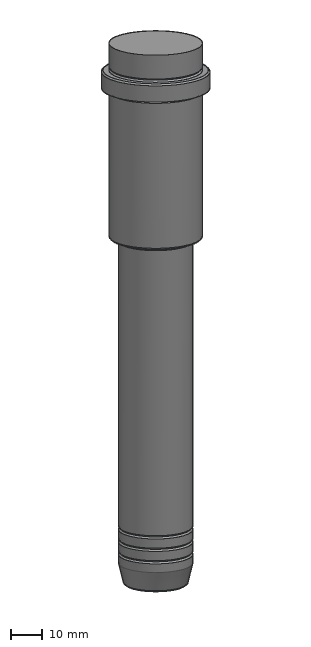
import cadquery as cq

length = 180.0
head_diameter = 30.0
flange_diameter = 35.0
shank_diameter = 24.0

flange_top = 9.0
flange_bottom = 15.0
flange_chamfer = 0.5
head_end = 64.8
head_end_chamfer = 0.5

relief_width = 1.0
relief_depth = 0.5
neck_width = 1.0
neck_depth = 0.5

groove_count = 3
first_groove = 160.7
groove_pitch = 4.1
groove_width = 1.0
groove_depth = 0.5

taper_start = 173.0
tip_diameter = 20.5
tip_chamfer = 0.5


def cylinder(diameter, top, bottom):
    """Solid cylinder between two distances from the top face."""
    return cq.Workplane("XY").workplane(offset=length - bottom).circle(diameter / 2).extrude(bottom - top)


def ring_groove(diameter, depth, top, width):
    """Cutter for a square groove around a cylinder of the given diameter."""
    return cylinder(diameter, top, top + width).cut(cylinder(diameter - 2 * depth, top, top + width))


def vee_groove(diameter, depth, top, width):
    """Cutter for a symmetric V groove around a cylinder of the given diameter."""
    radius = diameter / 2
    upper_edge = length - top
    profile = [(radius, upper_edge), (radius - depth, upper_edge - width / 2), (radius, upper_edge - width)]
    return cq.Workplane("XZ").polyline(profile).close().revolve(360, (0, 0), (0, 1))


def tapered_tip():
    """Conical lead-in with a chamfered lower edge."""
    tip_height = length - taper_start
    profile = [(0, 0), (tip_diameter / 2, 0), (shank_diameter / 2, tip_height), (0, tip_height)]
    cone = cq.Workplane("XZ").polyline(profile).close().revolve(360, (0, 0), (0, 1))
    return cone.faces("<Z").edges().chamfer(tip_chamfer)


head = cylinder(head_diameter, 0, head_end).faces("<Z").edges().chamfer(head_end_chamfer)
flange = cylinder(flange_diameter, flange_top, flange_bottom).faces(">Z").edges().chamfer(flange_chamfer)
shank = cylinder(shank_diameter, head_end, taper_start)

head = head.cut(vee_groove(head_diameter, relief_depth, flange_top - relief_width, relief_width))
head = head.cut(vee_groove(head_diameter, relief_depth, flange_bottom, relief_width))
shank = shank.cut(ring_groove(shank_diameter, neck_depth, head_end, neck_width))

for index in range(groove_count):
    groove_top = first_groove + index * groove_pitch
    shank = shank.cut(vee_groove(shank_diameter, groove_depth, groove_top, groove_width))

result = head.union(flange).union(shank).union(tapered_tip())